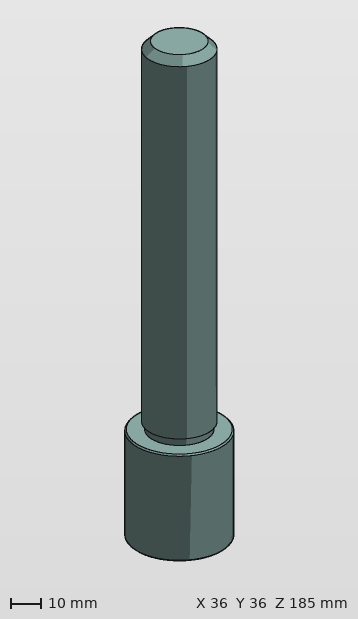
import cadquery as cq

total_length = 185.0
head_diameter = 36.0
head_height = 40.0
head_chamfer = 0.5

shank_diameter = 25.0
shank_chamfer = 3.0
neck_diameter = 23.0
neck_height = 3.0


def make_head():
    """Cylindrical head on the XY plane, with both rims broken."""
    head = cq.Workplane("XY").circle(head_diameter / 2).extrude(head_height)
    return head.edges().chamfer(head_chamfer)


def make_neck():
    """Narrow relief between the head and the shank."""
    base = cq.Workplane("XY").workplane(offset=head_height)
    return base.circle(neck_diameter / 2).extrude(neck_height)


def make_shank():
    """Long round shank with a chamfered free end."""
    shank_base = head_height + neck_height
    base = cq.Workplane("XY").workplane(offset=shank_base)
    shank = base.circle(shank_diameter / 2).extrude(total_length - shank_base)
    return shank.faces(">Z").edges().chamfer(shank_chamfer)


result = make_head().union(make_neck()).union(make_shank())